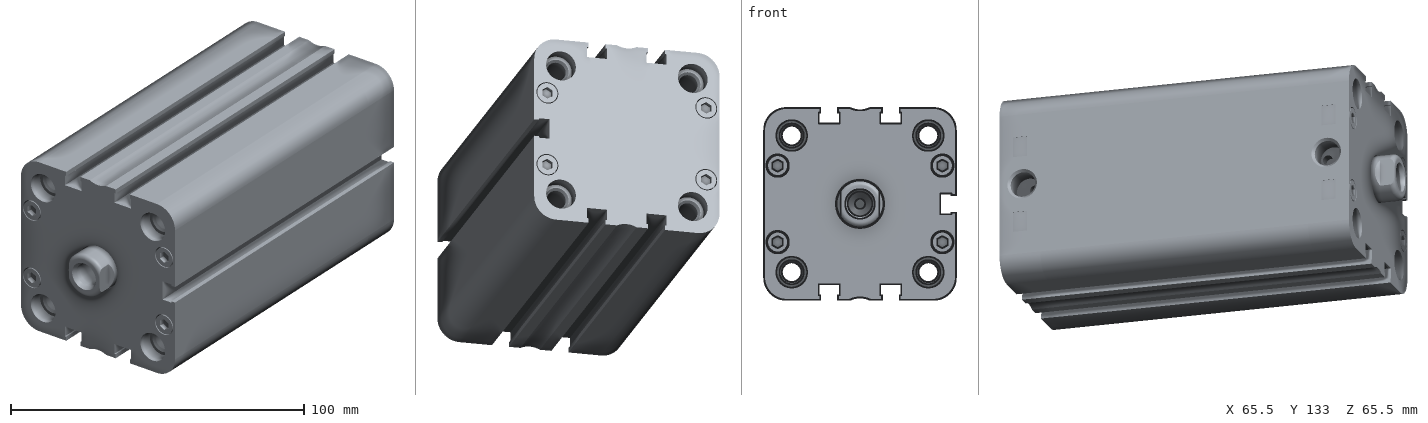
import cadquery as cq
import math


width = 65.5
half_width = width / 2
overall_length = 133.0
rod_projection = 8.0
housing_length = overall_length - rod_projection
cap_length = 14.6
barrel_length = housing_length - 2 * cap_length
corner_radius = 7.7

slot_offset = 10.5
slot_mouth_width = 6.0
slot_width = 7.0
slot_lip = 1.6
slot_depth = 5.3

groove_width = 6.9
groove_depth = 0.8

mount_offset = 23.3
mount_diameter = 6.6
mount_countersink = 8.2
mount_counterbore = 10.5
mount_counterbore_depth = 5.3

screw_x = 28.0
screw_z = 13.0
screw_recess_diameter = 7.7
screw_head_diameter = 7.0
screw_head_height = 3.0
hex_width = 3.6
hex_depth = 2.0

port_inset = 8.1
port_diameter = 8.8
port_mouth_diameter = 10.5
port_depth = 8.0
passage_diameter = 3.5
passage_offset = 2.0
passage_depth = 4.0

label_length = 4.9
label_height = 7.0
label_offset = 13.4
label_depth = 0.1

rod_diameter = 16.0
rod_hole_diameter = 16.5
rod_tip_radius = 1.7
flat_width = 13.0
flat_start = 2.8
thread_diameter = 8.4
thread_mouth_diameter = 10.1
thread_mouth_depth = 1.5
thread_depth = 12.0
drill_tip_diameter = 3.5
drill_tip_angle = 118.0

rearward = cq.Vector(0, 1, 0)
inward = cq.Vector(1, 0, 0)


def cylinder_y(x, z, y_start, diameter, length):
    """Cylinder that runs from y_start toward +Y."""
    start = cq.Vector(x, y_start, z)
    return cq.Workplane(cq.Solid.makeCylinder(diameter / 2, length, start, rearward))


def cone_y(x, z, y_start, start_diameter, end_diameter, length):
    """Cone that runs from y_start toward +Y."""
    start = cq.Vector(x, y_start, z)
    return cq.Workplane(cq.Solid.makeCone(start_diameter / 2, end_diameter / 2, length, start, rearward))


def slot_cutter(offset):
    """Full-length T-slot opening upward through the top face."""
    lip_z = half_width - slot_lip
    return (
        cq.Workplane("XZ")
        .moveTo(offset - slot_mouth_width / 2, half_width)
        .lineTo(offset - slot_mouth_width / 2, lip_z)
        .lineTo(offset - slot_width / 2, lip_z)
        .lineTo(offset - slot_width / 2, half_width - slot_depth)
        .lineTo(offset + slot_width / 2, half_width - slot_depth)
        .lineTo(offset + slot_width / 2, lip_z)
        .lineTo(offset + slot_mouth_width / 2, lip_z)
        .lineTo(offset + slot_mouth_width / 2, half_width)
        .close()
        .extrude(-housing_length)
    )


def groove_cutter():
    """Full-length groove of circular section in the top face."""
    return (
        cq.Workplane("XZ")
        .moveTo(-groove_width / 2, half_width)
        .threePointArc((0, half_width - groove_depth), (groove_width / 2, half_width))
        .close()
        .extrude(-housing_length)
    )


def turned(cutter, angle):
    """Cutter turned about the cylinder axis."""
    return cutter.rotate((0, 0, 0), (0, 1, 0), angle)


def slot_cutters():
    """Two slots in the top, two in the bottom and one in the middle of the +X side."""
    cutters = [turned(slot_cutter(0), 90)]
    for angle in (0, 180):
        for side in (-1, 1):
            cutters.append(turned(slot_cutter(side * slot_offset), angle))
    return cutters


def housing_section(y_start, length):
    """One length of the housing with its two grooves: an end cap or the barrel."""
    section = (
        cq.Workplane("XZ", origin=(0, y_start, 0))
        .rect(width, width)
        .extrude(-length)
        .edges("|Y")
        .fillet(corner_radius)
    )
    for angle in (0, 180):
        section = section.cut(turned(groove_cutter(), angle))
    return section


def mirrored_to_rear(cutter):
    """Front-cap cutter together with its copy in the rear cap."""
    return [cutter, cutter.mirror("XZ", (0, housing_length / 2, 0))]


def mount_cutters(x, z):
    """Through hole with a countersunk counterbore at both ends."""
    countersink_depth = (mount_countersink - mount_diameter) / 2
    counterbore = cylinder_y(x, z, 0, mount_counterbore, mount_counterbore_depth)
    countersink = cone_y(x, z, mount_counterbore_depth, mount_countersink, mount_diameter, countersink_depth)
    through_hole = cylinder_y(x, z, 0, mount_diameter, housing_length)
    return [through_hole] + mirrored_to_rear(counterbore) + mirrored_to_rear(countersink)


def screw_cutters(x, z):
    """Ring gap around a screw head and the hexagon socket in the head."""
    ring = cylinder_y(x, z, 0, screw_recess_diameter, screw_head_height).cut(
        cylinder_y(x, z, 0, screw_head_diameter, screw_head_height)
    )
    across_corners = hex_width / math.cos(math.radians(30))
    socket = (
        cq.Workplane("XZ", origin=(x, 0, z))
        .transformed(rotate=(0, 0, 90))
        .polygon(6, across_corners)
        .extrude(-hex_depth)
    )
    return mirrored_to_rear(ring) + mirrored_to_rear(socket)


def port_cutters():
    """Air port with a chamfered mouth, an off-centre passage and two label pockets, in each cap."""
    mouth = cq.Vector(-half_width, port_inset, 0)
    passage_start = cq.Vector(port_depth - half_width, port_inset + passage_offset, 0)
    chamfer = (port_mouth_diameter - port_diameter) / 2
    shapes = [
        cq.Solid.makeCylinder(port_diameter / 2, port_depth, mouth, inward),
        cq.Solid.makeCone(port_mouth_diameter / 2, port_diameter / 2, chamfer, mouth, inward),
        cq.Solid.makeCylinder(passage_diameter / 2, passage_depth, passage_start, inward),
    ]
    cutters = [cq.Workplane(shape) for shape in shapes]
    for side in (-1, 1):
        pocket = cq.Workplane("XY").box(2 * label_depth, label_length, label_height)
        cutters.append(pocket.translate((-half_width, cap_length / 2, side * label_offset)))
    return [copy for cutter in cutters for copy in mirrored_to_rear(cutter)]


def make_housing():
    body = housing_section(0, cap_length)
    body = body.union(housing_section(cap_length, barrel_length), clean=False)
    body = body.union(housing_section(cap_length + barrel_length, cap_length), clean=False)

    cutters = slot_cutters() + port_cutters()
    cutters.append(cylinder_y(0, 0, 0, rod_hole_diameter, cap_length))
    for x_side in (-1, 1):
        for z_side in (-1, 1):
            cutters += mount_cutters(x_side * mount_offset, z_side * mount_offset)
            cutters += screw_cutters(x_side * screw_x, z_side * screw_z)
    for cutter in cutters:
        body = body.cut(cutter, clean=False)
    return body


def flat_cutter():
    """Wrench flat on the +X side of the rod, with a 45 degree run-out."""
    flat_x = flat_width / 2
    rod_radius = rod_diameter / 2
    runout = rod_radius - flat_x
    return (
        cq.Workplane("XY")
        .moveTo(flat_x, -rod_projection)
        .lineTo(flat_x, -flat_start)
        .lineTo(rod_radius, runout - flat_start)
        .lineTo(rod_radius, -rod_projection)
        .close()
        .extrude(rod_radius, both=True)
    )


def make_rod():
    """Rod whose inner end rests on the floor of the rod hole."""
    rod = cylinder_y(0, 0, -rod_projection, rod_diameter, rod_projection + cap_length)
    rod = rod.faces("<Y").edges().fillet(rod_tip_radius)
    rod = rod.cut(flat_cutter()).cut(flat_cutter().mirror("YZ"))

    tip_slope = math.tan(math.radians(drill_tip_angle / 2))
    tip_length = (thread_diameter - drill_tip_diameter) / 2 / tip_slope
    rod = rod.cut(cylinder_y(0, 0, -rod_projection, thread_diameter, thread_depth))
    rod = rod.cut(cone_y(0, 0, -rod_projection, thread_mouth_diameter, thread_diameter, thread_mouth_depth))
    tip_start = thread_depth - rod_projection
    return rod.cut(cone_y(0, 0, tip_start, thread_diameter, drill_tip_diameter, tip_length))


housing = make_housing()
piston_rod = make_rod()

result = cq.Compound.makeCompound([housing.val(), piston_rod.val()])